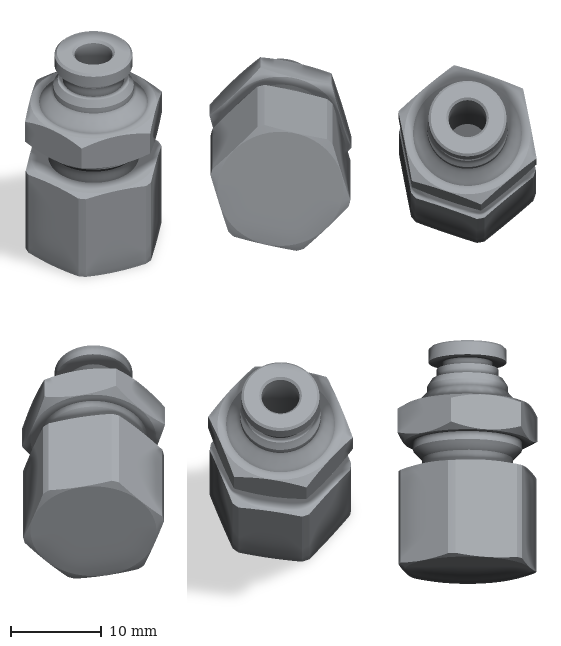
import cadquery as cq
import math

total_height = 25.1
across_flats = 14.0
hexagon_sides = 6
hexagon_turn = 180 / hexagon_sides

body_height = 11.0
body_corner_diameter = 15.7
body_chamfer_diameter = 13.9
body_chamfer_angle = 15.0

stem_diameter = 10.0
stem_top = 12.5
flange_diameter = 12.0
flange_bottom = 13.5

nut_bottom = 14.4
nut_height = 4.0
nut_top = nut_bottom + nut_height
nut_chamfer_diameter = 13.9
nut_chamfer_angle = 30.0

shoulder_bottom_diameter = 12.0
shoulder_top_diameter = 8.9
shoulder_top = 20.0
rim_top = 20.7
rim_cone_top_diameter = 7.9
rim_cone_top = 21.5

collar_diameter = 6.8
collar_top = 22.65
neck_diameter = 5.5
cap_diameter = 8.6
cap_thickness = 1.65
cap_bottom = total_height - cap_thickness
cap_chamfer = 0.25

bore_diameter = 4.2
bore_mouth_chamfer = 0.25
bore_bottom = nut_bottom


def turned(profile):
    """Solid of revolution about Z from a closed list of (radius, height) points."""
    return cq.Workplane("XZ").polyline(profile).close().revolve(360, (0, 0, 0), (0, 1, 0))


def chamfered_hexagon(bottom, height, chamfer_diameter, chamfer_angle):
    """Hexagonal prism with flats facing +/-X and its corners coned off at both ends."""
    corner_distance = across_flats / 2 / math.cos(math.pi / hexagon_sides)
    top = bottom + height
    prism = (
        cq.Workplane("XY", origin=(0, 0, bottom))
        .polygon(hexagon_sides, 2 * corner_distance)
        .extrude(height)
        .rotate((0, 0, 0), (0, 0, 1), hexagon_turn)
    )
    end_radius = chamfer_diameter / 2
    drop = (corner_distance - end_radius) * math.tan(math.radians(chamfer_angle))
    envelope_profile = [
        (0, bottom),
        (end_radius, bottom),
        (corner_distance, bottom + drop),
        (corner_distance, top - drop),
        (end_radius, top),
        (0, top),
    ]
    return prism.intersect(turned(envelope_profile))


def lower_body():
    """Hexagonal body whose corners are rounded to a common cylinder."""
    corner_cylinder = cq.Workplane("XY").circle(body_corner_diameter / 2).extrude(body_height)
    hexagon = chamfered_hexagon(0, body_height, body_chamfer_diameter, body_chamfer_angle)
    return hexagon.intersect(corner_cylinder)


def turned_core():
    """Round stem, flange, shoulder and release sleeve as one turned profile."""
    profile = [
        (0, 0),
        (stem_diameter / 2, 0),
        (stem_diameter / 2, stem_top),
        (flange_diameter / 2, flange_bottom),
        (flange_diameter / 2, nut_bottom),
        (shoulder_bottom_diameter / 2, nut_top),
        (shoulder_top_diameter / 2, shoulder_top),
        (shoulder_top_diameter / 2, rim_top),
        (rim_cone_top_diameter / 2, rim_cone_top),
        (collar_diameter / 2, rim_cone_top),
        (collar_diameter / 2, collar_top),
        (neck_diameter / 2, collar_top),
        (neck_diameter / 2, cap_bottom),
        (cap_diameter / 2, cap_bottom),
        (cap_diameter / 2, total_height - cap_chamfer),
        (cap_diameter / 2 - cap_chamfer, total_height),
        (0, total_height),
    ]
    return turned(profile)


def tube_bore():
    """Blind bore from the top with a chamfered mouth."""
    radius = bore_diameter / 2
    profile = [
        (0, bore_bottom),
        (radius, bore_bottom),
        (radius, total_height - bore_mouth_chamfer),
        (radius + bore_mouth_chamfer, total_height),
        (0, total_height),
    ]
    return turned(profile)


nut = chamfered_hexagon(nut_bottom, nut_height, nut_chamfer_diameter, nut_chamfer_angle)
result = turned_core().union(lower_body()).union(nut).cut(tube_bore())